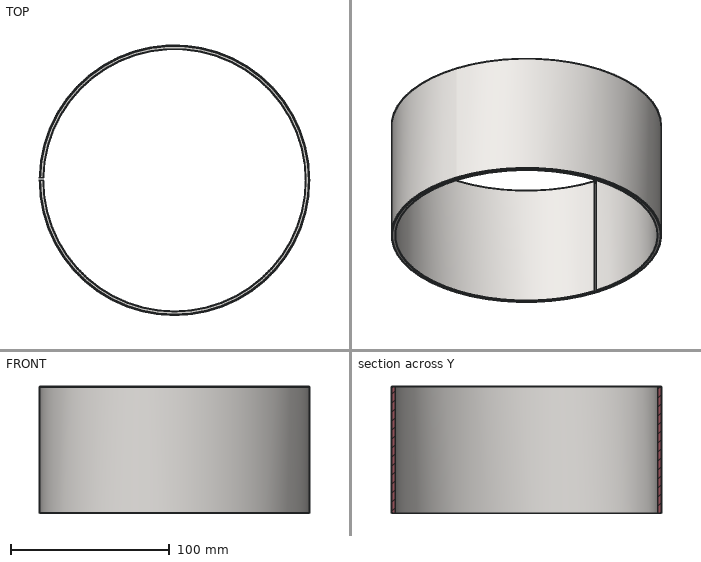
import cadquery as cq
import math

outer_diameter = 170.0
wall = 2.5
height = 80.0
outer_chamfer = 0.5
inner_chamfer = 0.2
slit_angle = 1.0

outer_radius = outer_diameter / 2
inner_radius = outer_radius - wall


def sleeve():
    """Thin-walled sleeve about Z, base on Z = 0, with all four rims chamfered."""
    wall_section = (
        cq.Workplane("XZ")
        .moveTo(outer_radius - outer_chamfer, 0)
        .lineTo(outer_radius, outer_chamfer)
        .lineTo(outer_radius, height - outer_chamfer)
        .lineTo(outer_radius - outer_chamfer, height)
        .lineTo(inner_radius + inner_chamfer, height)
        .lineTo(inner_radius, height - inner_chamfer)
        .lineTo(inner_radius, inner_chamfer)
        .lineTo(inner_radius + inner_chamfer, 0)
        .close()
    )
    return wall_section.revolve(360, (0, 0, 0), (0, 1, 0))


def slit_cutter():
    """Full-height wedge from the axis that splits the wall on the -X side, from Y = 0 toward +Y."""
    wedge_length = outer_diameter
    wedge_width = wedge_length * math.tan(math.radians(slit_angle))
    return (
        cq.Workplane("XY")
        .lineTo(-wedge_length, 0)
        .lineTo(-wedge_length, wedge_width)
        .close()
        .extrude(height)
    )


result = sleeve().cut(slit_cutter())